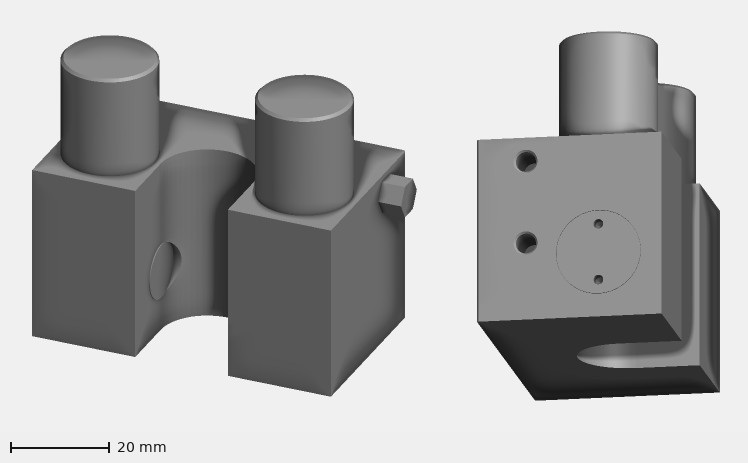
import cadquery as cq

BODY_WIDTH = 65.95
BODY_DEPTH = 38.0
BODY_HEIGHT = 38.0
BACK_EDGE_CHAMFER = 0.35

SLOT_WIDTH = 20.45
SLOT_DEPTH = 23.2

POST_DIAMETER = 20.0
POST_SPACING = 42.95
POST_Y = 13.0
TOTAL_HEIGHT = 60.0
POST_CHAMFER = 0.6

PISTON_DIAMETER = 12.0
PISTON_Z = 13.5
PISTON_PROTRUSION = 0.2

PLUG_DIAMETER = 17.3
PLUG_BORE_DIAMETER = 17.5
PLUG_GROOVE_DEPTH = 0.35
SPANNER_HOLE_DIAMETER = 2.0
SPANNER_HOLE_SPACING = 11.65
SPANNER_HOLE_DEPTH = 2.0
SPANNER_HOLE_POINT_DEPTH = 0.6

PORT_Y = 28.0
PORT_A_Z = 16.0
PORT_B_Z = 33.0
PORT_DIAMETER = 4.1
PORT_MOUTH_DIAMETER = 4.9
PORT_DEPTH = 9.95
HEX_ACROSS_CORNERS = 8.0
TOTAL_LENGTH = 71.0

LEFT_X = -BODY_WIDTH / 2
RIGHT_X = BODY_WIDTH / 2


def rod_along_x(x_start, x_end, y, z, diameter):
    plane = cq.Workplane("YZ", origin=(x_start, y, z))
    return plane.circle(diameter / 2).extrude(x_end - x_start)


def make_body():
    body = cq.Workplane("XY").box(BODY_WIDTH, BODY_DEPTH, BODY_HEIGHT, centered=(True, False, False))
    return body.edges("|Z and >Y").chamfer(BACK_EDGE_CHAMFER)


def make_slot():
    radius = SLOT_WIDTH / 2
    straight_end = SLOT_DEPTH - radius
    outline = (
        cq.Workplane("XY")
        .moveTo(-radius, 0)
        .lineTo(-radius, straight_end)
        .threePointArc((0, SLOT_DEPTH), (radius, straight_end))
        .lineTo(radius, 0)
        .close()
    )
    return outline.extrude(BODY_HEIGHT)


def make_posts():
    return (
        cq.Workplane("XY", origin=(0, POST_Y, BODY_HEIGHT))
        .pushPoints([(-POST_SPACING / 2, 0), (POST_SPACING / 2, 0)])
        .circle(POST_DIAMETER / 2)
        .extrude(TOTAL_HEIGHT - BODY_HEIGHT)
        .faces(">Z")
        .edges()
        .chamfer(POST_CHAMFER)
    )


def make_piston_bore():
    return rod_along_x(-SLOT_WIDTH / 2, SLOT_WIDTH / 2, POST_Y, PISTON_Z, PISTON_DIAMETER)


def make_pistons():
    half_gap = SLOT_WIDTH / 2 - PISTON_PROTRUSION
    pistons = rod_along_x(-POST_SPACING / 2, -half_gap, POST_Y, PISTON_Z, PISTON_DIAMETER)
    return pistons.union(rod_along_x(half_gap, POST_SPACING / 2, POST_Y, PISTON_Z, PISTON_DIAMETER))


def make_plug_groove():
    return (
        cq.Workplane("YZ", origin=(LEFT_X, POST_Y, PISTON_Z))
        .circle(PLUG_BORE_DIAMETER / 2)
        .circle(PLUG_DIAMETER / 2)
        .extrude(PLUG_GROOVE_DEPTH)
    )


def make_spanner_hole(z):
    """Blind hole with a conical bottom."""
    radius = SPANNER_HOLE_DIAMETER / 2
    return (
        cq.Workplane("XY", origin=(LEFT_X, POST_Y, z))
        .polyline([
            (0, 0),
            (0, radius),
            (SPANNER_HOLE_DEPTH, radius),
            (SPANNER_HOLE_DEPTH + SPANNER_HOLE_POINT_DEPTH, 0),
        ])
        .close()
        .revolve(360, (0, 0), (1, 0))
    )


def make_port(z):
    """Flat-bottomed blind hole with a 45 degree chamfered mouth."""
    radius = PORT_DIAMETER / 2
    mouth_radius = PORT_MOUTH_DIAMETER / 2
    return (
        cq.Workplane("XY", origin=(LEFT_X, PORT_Y, z))
        .polyline([
            (0, 0),
            (0, mouth_radius),
            (mouth_radius - radius, radius),
            (PORT_DEPTH, radius),
            (PORT_DEPTH, 0),
        ])
        .close()
        .revolve(360, (0, 0), (1, 0))
    )


def make_hex_head():
    return (
        cq.Workplane("YZ", origin=(RIGHT_X, PORT_Y, PORT_B_Z))
        .polygon(6, HEX_ACROSS_CORNERS)
        .extrude(TOTAL_LENGTH - BODY_WIDTH)
    )


result = make_body().cut(make_slot()).cut(make_piston_bore())
result = result.union(make_posts()).union(make_pistons()).union(make_hex_head())
result = result.cut(make_plug_groove())
for side in (-1, 1):
    result = result.cut(make_spanner_hole(PISTON_Z + side * SPANNER_HOLE_SPACING / 2))
for port_z in (PORT_A_Z, PORT_B_Z):
    result = result.cut(make_port(port_z))